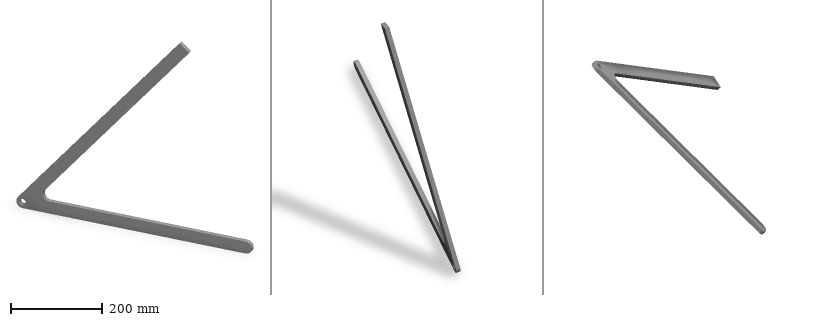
import cadquery as cq
import math

overall_length = 565.0
overall_height = 487.5
thickness = 10.0
arm_width = 30.0
end_radius = arm_width / 2
arm_angle = 50.0
crotch_radius = end_radius
hole_diameter = 15.0

base_length = overall_length - 2 * end_radius
angle = math.radians(arm_angle)
top_height = overall_height - end_radius
arm_length = (top_height - end_radius * math.cos(angle)) / math.sin(angle)


def disc(x, diameter):
    """Disc of full thickness centred on the base arm axis."""
    return (
        cq.Workplane("XZ")
        .center(x, 0)
        .circle(diameter / 2)
        .extrude(thickness / 2, both=True)
    )


def straight_arm(length):
    """Square-ended bar running along +X from the pivot."""
    return cq.Workplane("XY").box(length, thickness, arm_width, centered=(False, True, True))


base_arm = straight_arm(base_length).union(disc(base_length, arm_width))

raised_arm = straight_arm(arm_length).rotate((0, 0, 0), (0, 1, 0), -arm_angle)

body = base_arm.union(raised_arm).union(disc(0, arm_width))

crotch_x = end_radius / math.tan(angle / 2)
crotch_edge = cq.selectors.NearestToPointSelector((crotch_x, 0, end_radius))
body = body.edges("|Y").edges(crotch_edge).fillet(crotch_radius)

result = body.cut(disc(0, hole_diameter))